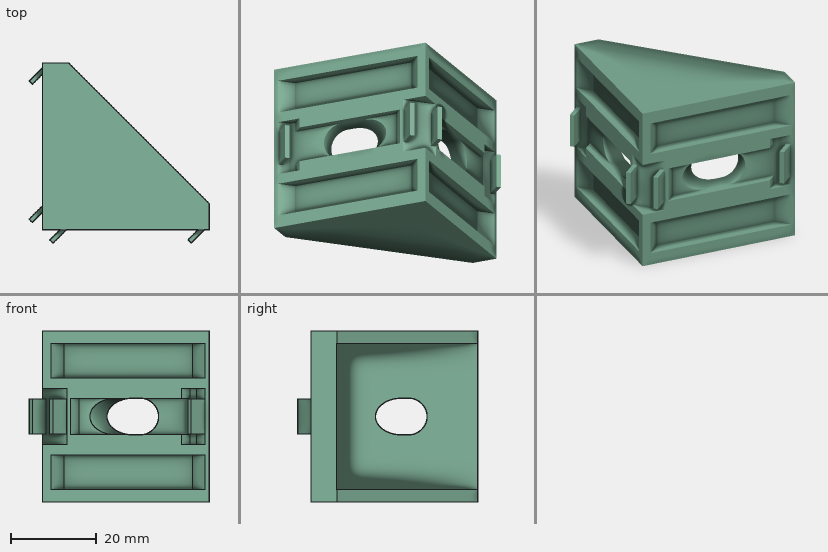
import cadquery as cq
import math

leg = 39.0
height = 40.0
wall = 6.0
leg_end = 6.1
side_plate = 3.0

pocket_start = 2.0
pocket_end = 38.0
pocket_depth = 3.0
pocket_bottom = 9.0
pocket_height = 8.0

recess_depth = 2.0
groove_start = 6.6
groove_height = 8.5

recess_height = 13.1
corner_cut = 5.75
notch_start = 32.5
notch_end = pocket_end

slot_radius = groove_height / 2
slot_near_end = 11.1
slot_far_end = 27.1

tab_length = 4.5
tab_thickness = 1.1
tab_inset = 0.1
tab_height = 8.2
tab_root = 0.5

HALF_ROOT = math.sqrt(0.5)


def prism(points, z_size, z_middle=0.0):
    """Extrude an XY outline along Z, centred on z_middle."""
    outline = cq.Workplane("XY").workplane(offset=z_middle - z_size / 2).polyline(points).close()
    return outline.extrude(z_size)


def on_both_faces(feature):
    """Return a feature of the -Y face together with its twin on the -X face."""
    twin = feature.mirror("YZ").rotate((0, 0, 0), (0, 0, 1), -90)
    return feature, twin


def bracket_body():
    outline = [(0, 0), (leg, 0), (leg, leg_end), (leg_end, leg), (0, leg)]
    body = prism(outline, height)
    cavity = cq.Workplane("XY").box(leg, leg, height - 2 * side_plate, centered=(False, False, True))
    return body.cut(cavity.translate((wall, wall, 0)))


def tapered_recess(start, end, depth, z_size, z_middle=0.0):
    """Recess in the -Y face whose end walls close in at 45 degrees."""
    points = [(start, 0), (end, 0), (end - depth, depth), (start + depth, depth)]
    return prism(points, z_size, z_middle)


def screw_slot():
    """Slot through the wall, between a 45 degree bore and a straight bore."""
    slant_x = slot_near_end + slot_radius / HALF_ROOT - recess_depth
    straight_x = slot_far_end - slot_radius
    start = slot_radius * HALF_ROOT
    slant_plane = cq.Plane(origin=(slant_x - start, -start, 0), xDir=(0, 0, 1), normal=(1, 1, 0))
    slant_bore = cq.Workplane(slant_plane).circle(slot_radius).extrude(slot_radius + wall / HALF_ROOT)
    straight_bore = cq.Workplane("XZ", origin=(straight_x, 0, 0)).circle(slot_radius).extrude(-wall)
    between = prism([(slant_x, 0), (straight_x, 0), (straight_x, wall), (slant_x + wall, wall)],
                    2 * slot_radius)
    return slant_bore.union(straight_bore).union(between)


def tab(edge_x):
    """Tab on the 45 degree recess face that meets the -Y face at edge_x."""

    def point(along, outward):
        """Point at a distance along the recess face from its edge and outward from the face."""
        return (edge_x - (along + outward) * HALF_ROOT, (along - outward) * HALF_ROOT)

    near = tab_inset
    far = tab_inset + tab_thickness
    outline = [point(near, -tab_root), point(near, tab_length), point(far, tab_length), point(far, -tab_root)]
    return prism(outline, tab_height)


def face_cuts():
    cuts = screw_slot()
    pocket_middle = pocket_bottom + pocket_height / 2
    for z_middle in (-pocket_middle, pocket_middle):
        cuts = cuts.union(tapered_recess(pocket_start, pocket_end, pocket_depth, pocket_height, z_middle))
    cuts = cuts.union(tapered_recess(notch_start, notch_end, recess_depth, recess_height))
    return cuts.union(tapered_recess(groove_start, notch_end, recess_depth, groove_height))


def bracket():
    body = bracket_body()
    for cut in on_both_faces(face_cuts()):
        body = body.cut(cut)
    body = body.cut(prism([(0, 0), (corner_cut, 0), (0, corner_cut)], recess_height))
    for edge_x in (corner_cut, notch_end):
        for blade in on_both_faces(tab(edge_x)):
            body = body.union(blade)
    return body


result = bracket()